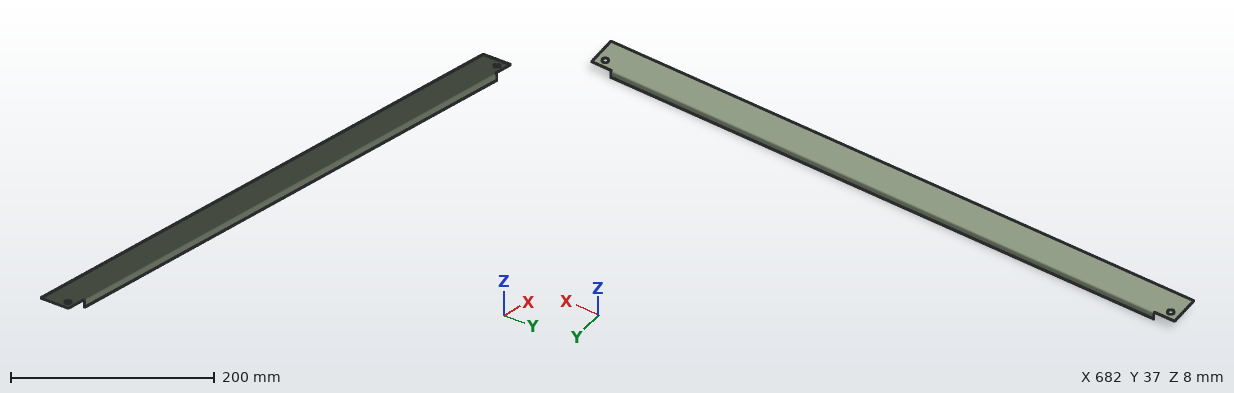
import cadquery as cq

length = 682.0
width = 37.0
height = 8.0
thickness = 1.0

inner_bend_radius = 1.0
outer_bend_radius = inner_bend_radius + thickness

flange_inset = 23.0
flange_length = length - 2 * flange_inset

hole_diameter = 7.0
hole_end_distance = 10.0
hole_back_distance = 11.0

front_y = -width / 2
back_y = width / 2
bend_y = back_y - outer_bend_radius
bend_z = height - outer_bend_radius


def make_plate():
    """Flat full-length plate, ending where the bend begins."""
    return cq.Workplane("XY").box(
        length, bend_y - front_y, thickness, centered=(True, False, False)
    ).translate((0, front_y, height - thickness))


def make_flange():
    """Quarter-round bend and the vertical flange below it."""
    return (
        cq.Workplane("YZ", origin=(-flange_length / 2, 0, 0))
        .moveTo(bend_y, height)
        .radiusArc((back_y, bend_z), outer_bend_radius)
        .lineTo(back_y, 0)
        .lineTo(back_y - thickness, 0)
        .lineTo(back_y - thickness, bend_z)
        .radiusArc((bend_y, height - thickness), -inner_bend_radius)
        .close()
        .extrude(flange_length)
    )


def make_holes():
    """Cutters for the pair of through holes."""
    hole_x = length / 2 - hole_end_distance
    hole_y = back_y - hole_back_distance
    return (
        cq.Workplane("XY")
        .pushPoints([(-hole_x, hole_y), (hole_x, hole_y)])
        .circle(hole_diameter / 2)
        .extrude(height)
    )


result = make_plate().union(make_flange()).cut(make_holes())